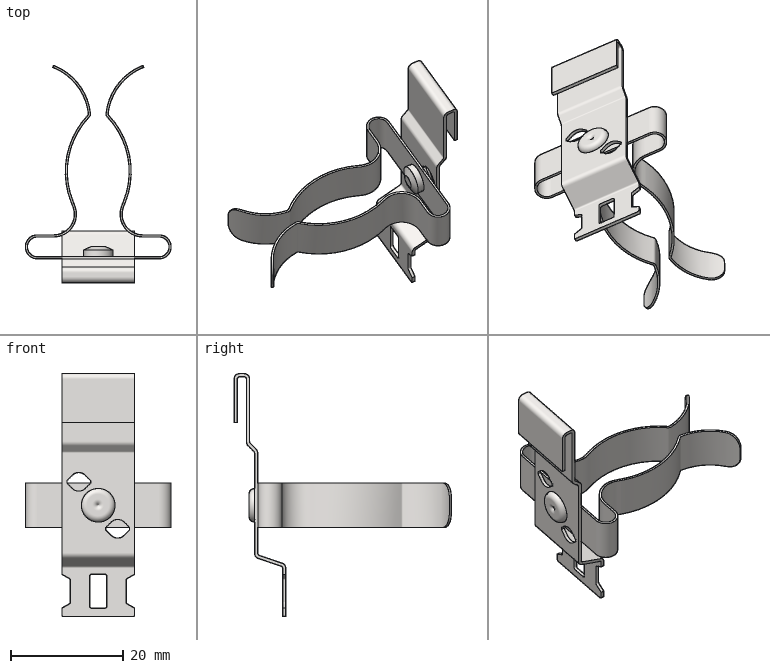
import math

import cadquery as cq


bracket_width = 13.0
bracket_thickness = 0.6
bracket_bend_radius = 0.7
bracket_top = 23.5
bracket_bottom = -19.85
hook_lip_bottom = 14.75
hook_depth = 2.8
hook_setback = 1.45
hook_jog_top = 11.03
hook_jog_bottom = hook_jog_top - hook_setback
foot_offset = 5.0
foot_arm_top = -9.05
foot_arm_bottom = -10.75

foot_cutout_center = -15.32
foot_slot_width = 3.0
foot_slot_height = 6.0
foot_inner_corner_radius = 0.3
foot_notch_depth = 1.5
foot_notch_mouth = 6.0
foot_notch_floor = 4.3
foot_corner_radius = 0.3

window_radius = 1.65
window_width = 4.2
window_offset_x = 3.47
window_offset_z = 4.17

clip_height = 8.0
clip_thickness = 0.4
clip_span = 26.02
wing_bend_radius = 1.95
neck_radius = 3.88
neck_half_gap = 4.08
neck_lean = 21.6
neck_straight = 0.9
jaw_radius = 14.4
throat_lean = 43.6
throat_bend_radius = 0.55
flare_radius = 10.22
flare_start_lean = 6.3
flare_end_lean = 68.9
clip_tip_corner_radius = 2.8

shank_radius = 1.5
head_radius = 3.0
head_height = 1.0
dimple_radius = 1.0
tail_radius = 2.6
tail_tip_radius = 1.15
tail_straight = 1.2
tail_cone_height = 0.65


def walk(start, heading, moves, offset):
    """Trace a path's parallel curve: each move is (radius or None, length or turn in degrees).

    Returns (mid point or None, end point) per move, after the start point. Left is positive.
    """
    x, y = start

    def beside(px, py, direction):
        angle = math.radians(direction + 90)
        return px + offset * math.cos(angle), py + offset * math.sin(angle)

    trace = [(None, beside(x, y, heading))]
    for radius, amount in moves:
        if radius is None:
            x += amount * math.cos(math.radians(heading))
            y += amount * math.sin(math.radians(heading))
            trace.append((None, beside(x, y, heading)))
            continue
        points = []
        side = math.copysign(90, amount)
        center_x = x + radius * math.cos(math.radians(heading + side))
        center_y = y + radius * math.sin(math.radians(heading + side))
        for direction in (heading + amount / 2, heading + amount):
            x = center_x - radius * math.cos(math.radians(direction + side))
            y = center_y - radius * math.sin(math.radians(direction + side))
            points.append(beside(x, y, direction))
        heading += amount
        trace.append(tuple(points))
    return trace


def bent_sheet(plane, start, heading, moves, thickness, width):
    """Sheet of constant thickness following the path, centred on the plane across its width."""
    left = walk(start, heading, moves, thickness / 2)
    right = walk(start, heading, moves, -thickness / 2)
    outline = cq.Workplane(plane).moveTo(*left[0][1])
    for middle, end in left[1:]:
        outline = outline.threePointArc(middle, end) if middle else outline.lineTo(*end)
    outline = outline.lineTo(*right[-1][1])
    for i in range(len(right) - 1, 0, -1):
        middle = right[i][0]
        end = right[i - 1][1]
        outline = outline.threePointArc(middle, end) if middle else outline.lineTo(*end)
    return outline.close().extrude(width / 2, both=True)


def folded_moves(corners, radius):
    """First heading and the moves along straight runs between sharp corners rounded to one radius."""
    runs = [(b[0] - a[0], b[1] - a[1]) for a, b in zip(corners, corners[1:])]
    headings = [math.degrees(math.atan2(run[1], run[0])) for run in runs]
    turns = [b - a for a, b in zip(headings, headings[1:])]
    setbacks = [0] + [radius * math.tan(math.radians(abs(turn)) / 2) for turn in turns] + [0]
    moves = []
    for i, run in enumerate(runs):
        moves.append((None, math.hypot(*run) - setbacks[i] - setbacks[i + 1]))
        if i < len(turns):
            moves.append((radius, turns[i]))
    return headings[0], moves


def make_bracket():
    panel_y = bracket_thickness / 2
    hook_y = panel_y - hook_setback
    lip_y = hook_y - (hook_depth - bracket_thickness)
    foot_y = panel_y + foot_offset
    top_z = bracket_top - bracket_thickness / 2
    corners = [
        (lip_y, hook_lip_bottom),
        (lip_y, top_z),
        (hook_y, top_z),
        (hook_y, hook_jog_top),
        (panel_y, hook_jog_bottom),
        (panel_y, foot_arm_top),
        (foot_y, foot_arm_bottom),
        (foot_y, bracket_bottom),
    ]
    heading, moves = folded_moves(corners, bracket_bend_radius)
    sheet = bent_sheet("YZ", corners[0], heading, moves, bracket_thickness, bracket_width)
    sheet = sheet.edges("|Y and <Z").fillet(foot_corner_radius)
    sheet = sheet.cut(foot_cutouts(foot_y))
    for side in (-1, 1):
        sheet = sheet.cut(window(side * window_offset_x, -side * window_offset_z))
    return sheet.cut(shank(0, bracket_thickness))


def foot_cutouts(foot_y):
    """Tools for the central slot and the two side notches, running through the foot only."""
    plane = cq.Workplane("XZ", origin=(0, foot_y, foot_cutout_center))
    cutouts = (
        plane.rect(foot_slot_width, foot_slot_height)
        .extrude(bracket_thickness, both=True)
        .edges("|Y")
        .fillet(foot_inner_corner_radius)
    )
    edge_x = bracket_width / 2
    floor_x = edge_x - foot_notch_depth
    for side in (-1, 1):
        notch = plane.polyline([
            (side * edge_x, foot_notch_mouth / 2),
            (side * floor_x, foot_notch_floor / 2),
            (side * floor_x, -foot_notch_floor / 2),
            (side * edge_x, -foot_notch_mouth / 2),
        ]).close().extrude(bracket_thickness, both=True)
        floor = "<X" if side > 0 else ">X"
        notch = notch.faces(floor).edges("|Y").fillet(foot_inner_corner_radius)
        cutouts = cutouts.union(notch)
    return cutouts


def window(x, z):
    """Round hole drawn out to both sides by 45 degree flanks that end in short upright edges."""
    tangent = window_radius * math.sqrt(0.5)
    end_x = window_width / 2
    end_z = 2 * tangent - end_x
    return (
        cq.Workplane("XZ", origin=(x, 0, z))
        .moveTo(tangent, tangent)
        .threePointArc((0, window_radius), (-tangent, tangent))
        .lineTo(-end_x, end_z)
        .lineTo(-end_x, -end_z)
        .lineTo(-tangent, -tangent)
        .threePointArc((0, -window_radius), (tangent, -tangent))
        .lineTo(end_x, -end_z)
        .lineTo(end_x, end_z)
        .close()
        .extrude(-bracket_thickness)
    )


def shank(front_y, back_y):
    """Rivet shank between two depths, used to cut its holes."""
    return cq.Workplane("XZ", origin=(0, front_y, 0)).circle(shank_radius).extrude(front_y - back_y)


def make_clip():
    """Spring strip: one half traced from the middle of its back outwards, then mirrored."""
    strip_y = bracket_thickness + clip_thickness / 2
    wing_x = clip_span / 2 - clip_thickness / 2 - wing_bend_radius
    neck_center_x = neck_half_gap + neck_radius
    moves = [
        (None, wing_x),
        (wing_bend_radius, 180),
        (None, wing_x - neck_center_x),
        (neck_radius, -(90 + neck_lean)),
        (None, neck_straight),
        (jaw_radius, neck_lean + throat_lean),
        (throat_bend_radius, -(throat_lean + flare_start_lean)),
        (flare_radius, flare_start_lean - flare_end_lean),
    ]
    half = bent_sheet("XY", (0, strip_y), 0, moves, clip_thickness, clip_height)
    tip_corners = half.faces(">Y").edges(">Z or <Z")
    half = tip_corners.fillet(clip_tip_corner_radius)
    strip = half.union(half.mirror("YZ"))
    return strip.cut(shank(bracket_thickness, bracket_thickness + clip_thickness))


def make_rivet():
    """Rivet with a dimpled head: half section, radius against Y, turned about the rivet axis."""
    back_y = bracket_thickness + clip_thickness
    head_edge = head_height * math.sqrt(0.5)
    flat_radius = head_radius - head_height
    lip = dimple_radius * math.sqrt(0.5)
    lip_y = dimple_radius - head_height - lip
    return (
        cq.Workplane("XY")
        .moveTo(0, dimple_radius - head_height)
        .threePointArc((dimple_radius - lip, lip_y), (dimple_radius, -head_height))
        .lineTo(flat_radius, -head_height)
        .threePointArc((flat_radius + head_edge, -head_edge), (head_radius, 0))
        .lineTo(shank_radius, 0)
        .lineTo(shank_radius, back_y)
        .lineTo(tail_radius, back_y)
        .lineTo(tail_radius, back_y + tail_straight)
        .lineTo(tail_tip_radius, back_y + tail_straight + tail_cone_height)
        .lineTo(0, back_y + tail_straight + tail_cone_height)
        .close()
        .revolve(360, (0, 0, 0), (0, 1, 0))
    )


bracket = make_bracket()
clip = make_clip()
rivet = make_rivet()
result = cq.Compound.makeCompound([bracket.val(), clip.val(), rivet.val()])